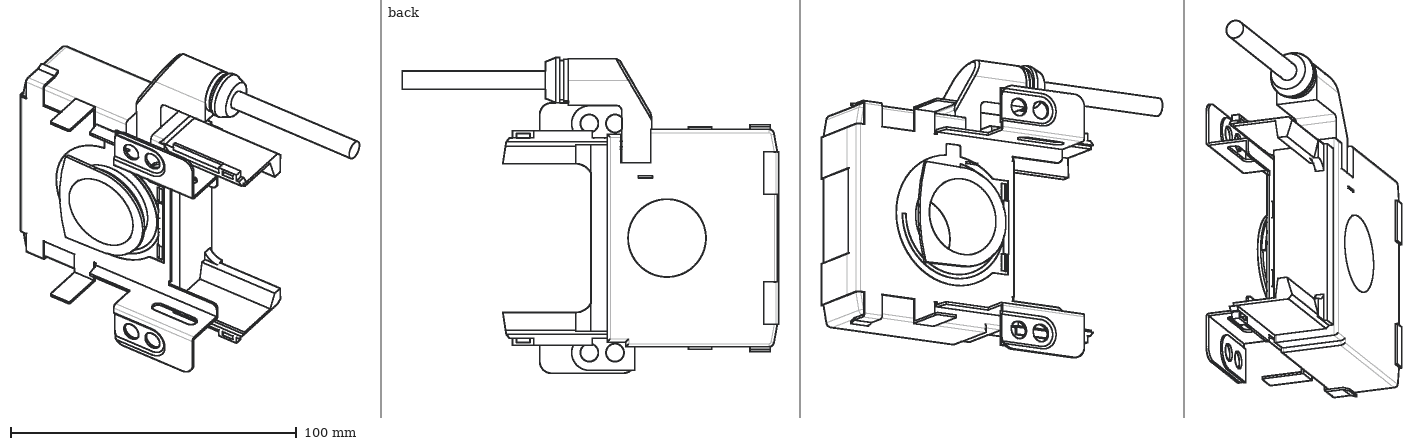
import cadquery as cq
import math


HOUSING_LEFT = -38.7
HOUSING_SHOULDER = 21.0
HOUSING_RIGHT = 26.6
END_WALL_FRONT = 3.3
SHOULDER_STEP_X = 14.5
SHOULDER_DROP = 1.7
CORNER_ROUND = 2.0
HOUSING_TOP = 38.1
HOUSING_BACK = 24.8
HOUSING_STEP = 1.5
END_DRAFT = 1.5
HOUSING_ROUND = 1.2

SHEET = 0.8
FRAME_LEFT = -39.2
FRAME_TOP = 30.2
FRAME_RIGHT = 24.9
RELIEF_X = 24.3
RELIEF_Z = 24.4
ARM_INNER = 26.0
ARM_CORNER = 2.0
FRAME_BEND = 1.2

TOP_CLIP = (-36.1, -29.0)
TOP_CLIP_REACH = 9.5
TOP_CLIP_BEND = 7.1
TOP_CLIP_TIP = 39.7
FORWARD_TAB = (-15.7, -7.5)
TAB_ROUND = 0.7
SIDE_WRAP = 6.1
SIDE_CLIP = (15.3, FRAME_TOP)
SIDE_CLIP_BACK = 25.6
SIDE_CLIP_BEND = 7.1
SIDE_CLIP_TAPER = 0.4
SIDE_CLIP_HOOK = -33.9

BRACKET_LEFT = 11.2
BRACKET_RIGHT = 44.6
BRACKET_TOP = 47.4
BRACKET_BOTTOM = 31.0
BRACKET_FRONT = -15.0
BRACKET_SHEET = 0.9
BRACKET_CORNER = 4.2
BEND_RADIUS = 1.2
LEDGE_START = -6.6
LEDGE_DEPTH = 5.0
SLOT_CENTRE = (31.5, -7.0)
SLOT_LENGTH = 18.2
SLOT_WIDTH = 4.2
HOLE_DIAMETER = 6.2
HOLE_XS = (18.2, 27.2)
HOLE_Z = 40.1
EMBOSS_DEPTH = 0.7
EMBOSS_FLOOR_WIDTH = 9.6
EMBOSS_WIDTH = 11.6
EMBOSS_BACK_WIDTH = 12.4

FORK_START = 16.2
FORK_END = 56.3
FORK_DRAFT = 1.2
STRIP_TOP = 35.1
STRIP_BACK = 1.3
SHELF_TOP = 33.6
SHELF_THICKNESS = 1.0
FORK_FRONT = -1.6
FORK_BACK = 22.2
FORK_RIM_OUTER = 20.6
FORK_RIM_INNER = 17.1
FORK_RIM_ROOT = 15.8
FORK_EDGE = 1.5
FRONT_RAMP = (21.8, 25.6)
LIP_X = (26.1, 46.6)
LIP_FRONT = 0.3
LOOP_X = (46.6, 54.1)
LOOP_BACK = 1.2
LOOP_TOP = 37.6
LOOP_WINDOW_X = (48.0, 52.6)
LOOP_WINDOW_TOP = 36.5
GUSSET_REACH = 5.3
GUSSET_DROP = 3.2
GUSSET_DEPTH = 3.2

BORE_DIAMETER = 27.2
COLLAR_DIAMETER = 31.0
COLLAR_FRONT = -6.5
FLANGE_SHEET = 1.2
STEP_RADIUS = 16.6
STEP_FRONT = -3.8
FLANGE_RADIUS = 17.7
FLANGE_CORNER = (-15.0, 18.1)
FLANGE_LEFT = -17.5
DISC_RADIUS = 23.3
DISC_RISE = 0.2
DISC_RIGHT = 22.3
LATCH_LEFT = 19.7
LATCH_HEIGHT = 33.8
LATCH_POCKET = (9.6, 15.7)
LATCH_POCKET_DEPTH = 1.3
LATCH_BAR_LEFT = 20.3
LATCH_BAR_RISE = 0.7
PIN_DIAMETER = 1.2
KEY_WIDTH = 5.8
KEY_TOP = 27.3
RING_GROOVE_RADII = (19.4, 20.8)
RING_GROOVE_DEPTH = 0.7
RING_GROOVE_GAP = (82.0, 180.0)
SIGHT_SLIT_X = (5.1, 10.0)
SIGHT_SLIT_Z = (21.1, 21.8)

BOOT_Y = 15.0
BOOT_Z = 55.3
BOOT_RADIUS = 7.5
BOOT_LEFT = 5.3
BOOT_STEM_RIGHT = 15.8
BOOT_RIGHT = 34.5
BOOT_SHOULDER_Z = 43.0
BOOT_SLOPE_TOP_X = 16.9
BOOT_UNDERSIDE = 46.5
BOOT_FOOT = 26.4
BOOT_STEM_ROUND = 2.0
BOOT_EDGE = 0.9
NECK_DIAMETER = 14.6
NECK_END = 36.1
GROOVE_DIAMETER = 13.9
GROOVE_END = 37.5
RING_DIAMETER = 16.0
RING_END = 38.9
GLAND_DIAMETER = 12.9
GLAND_END = 42.6
CABLE_DIAMETER = 6.5
CABLE_END = 92.7
BOOT_POCKET = (5.7, FORK_START)


def box(x_range, y_range, z_range):
    """Box from its lowest and highest coordinates."""
    size = [high - low for low, high in (x_range, y_range, z_range)]
    corner = (x_range[0], y_range[0], z_range[0])
    return cq.Workplane("XY").box(*size, centered=False).translate(corner)


def front_prism(sketch, y_front, y_back):
    """Extrude a closed outline drawn in X and Z from y_front back to y_back."""
    return sketch.extrude(y_front - y_back).translate((0, y_front, 0))


def front_outline(points):
    return cq.Workplane("XZ").polyline(points).close()


def front_disc(diameter, y_front, y_back):
    return front_prism(cq.Workplane("XZ").circle(diameter / 2), y_front, y_back)


def both_sides(shape):
    """Add the mirror image of a shape on the other side of the XY plane."""
    return shape.union(shape.mirror("XY"))


def make_housing():
    drafted_left = HOUSING_LEFT + END_DRAFT
    shoulder_top = HOUSING_TOP - SHOULDER_DROP
    outline = [
        (HOUSING_LEFT, -FRAME_TOP),
        (drafted_left, -HOUSING_TOP),
        (SHOULDER_STEP_X, -HOUSING_TOP),
        (SHOULDER_STEP_X, -shoulder_top),
        (HOUSING_SHOULDER, -shoulder_top),
        (HOUSING_SHOULDER, shoulder_top),
        (SHOULDER_STEP_X, shoulder_top),
        (SHOULDER_STEP_X, HOUSING_TOP),
        (drafted_left, HOUSING_TOP),
        (HOUSING_LEFT, FRAME_TOP),
    ]
    block = front_prism(front_outline(outline), SHEET, HOUSING_BACK)
    for corner_z in (-HOUSING_TOP, HOUSING_TOP):
        corner = cq.selectors.NearestToPointSelector((drafted_left, HOUSING_BACK / 2, corner_z))
        block = block.edges(corner).fillet(CORNER_ROUND)
    block = block.faces("<Y or >Y").edges().fillet(HOUSING_ROUND)
    shelf_under = SHELF_TOP - SHELF_THICKNESS
    end_wall = box(
        (HOUSING_SHOULDER - HOUSING_ROUND, HOUSING_RIGHT),
        (END_WALL_FRONT, HOUSING_BACK - HOUSING_STEP),
        (-shelf_under, shelf_under),
    )
    pocket = box(
        BOOT_POCKET,
        (0, HOUSING_BACK),
        (BOOT_FOOT, HOUSING_TOP + 1.3),
    )
    return block.cut(pocket).union(end_wall)


def make_fork_arm():
    """Upper arm: a shelf with a rim at the back and a strip, a lip and a loop at the front."""
    shelf_under = SHELF_TOP - SHELF_THICKNESS
    section = [
        (STRIP_BACK, SHELF_TOP),
        (FORK_BACK - FORK_EDGE, SHELF_TOP),
        (FORK_BACK, SHELF_TOP - FORK_EDGE),
        (FORK_RIM_OUTER, ARM_INNER),
        (FORK_RIM_INNER, ARM_INNER),
        (FORK_RIM_ROOT, shelf_under),
        (0, shelf_under),
        (0, SHELF_TOP),
        (FORK_FRONT, SHELF_TOP),
        (FORK_FRONT, STRIP_TOP),
        (STRIP_BACK, STRIP_TOP),
    ]
    drafted_end = FORK_END + FORK_DRAFT
    arm = cq.Workplane("YZ").polyline(section).close().extrude(drafted_end - FORK_START)
    arm = arm.translate((FORK_START, 0, 0))
    end_cut = [
        (FORK_END - FORK_DRAFT, STRIP_TOP),
        (FORK_END, SHELF_TOP),
        (drafted_end, ARM_INNER),
        (drafted_end, STRIP_TOP),
    ]
    arm = arm.cut(front_prism(front_outline(end_cut), FORK_FRONT, FORK_BACK))

    front_cut = [
        (FORK_START, FORK_FRONT),
        (FRONT_RAMP[1], FORK_FRONT),
        (FRONT_RAMP[0], SHEET),
        (FORK_START, SHEET),
    ]
    arm = arm.cut(cq.Workplane("XY").polyline(front_cut).close().extrude(STRIP_TOP))
    arm = arm.union(box(LIP_X, (LIP_FRONT, STRIP_BACK), (STRIP_TOP, LOOP_TOP)))

    loop = box(LOOP_X, (FORK_FRONT, LOOP_BACK), (STRIP_TOP, LOOP_TOP))
    loop = loop.cut(box(LOOP_WINDOW_X, (FORK_FRONT, LOOP_BACK), (STRIP_TOP, LOOP_WINDOW_TOP)))

    gusset = (
        cq.Workplane("XZ")
        .moveTo(HOUSING_RIGHT, shelf_under)
        .lineTo(HOUSING_RIGHT, ARM_INNER - GUSSET_DROP)
        .threePointArc(
            (HOUSING_RIGHT + 0.4 * GUSSET_REACH, ARM_INNER - 0.3 * GUSSET_DROP),
            (HOUSING_RIGHT + GUSSET_REACH, ARM_INNER),
        )
        .lineTo(HOUSING_RIGHT + GUSSET_REACH, shelf_under)
        .close()
    )
    return arm.union(loop).union(front_prism(gusset, FORK_BACK - GUSSET_DEPTH, FORK_BACK))


def make_frame():
    """Front sheet with its relief notches, arms, side wraps and clips."""
    frame = box((FRAME_LEFT, FRAME_RIGHT), (0, SHEET), (-FRAME_TOP, FRAME_TOP))
    upper = box((LEDGE_START, BRACKET_RIGHT), (0, SHEET), (ARM_INNER, BRACKET_BOTTOM))
    upper = upper.edges("|Y and >X and <Z").fillet(ARM_CORNER)
    relief = box((RELIEF_X, FRAME_RIGHT), (0, SHEET), (RELIEF_Z, ARM_INNER))
    frame = frame.cut(both_sides(relief)).union(both_sides(upper))
    wrap = box(
        (FRAME_LEFT, FRAME_LEFT + SHEET),
        (0, SIDE_WRAP),
        (-SIDE_CLIP[0], SIDE_CLIP[0]),
    )
    frame = frame.union(wrap)

    tapered_left = FRAME_LEFT + SIDE_CLIP_TAPER
    clip_outline = [
        (FRAME_LEFT, 0),
        (FRAME_LEFT, SIDE_CLIP_BEND),
        (tapered_left, SIDE_CLIP_BACK),
        (SIDE_CLIP_HOOK, SIDE_CLIP_BACK),
        (SIDE_CLIP_HOOK, SIDE_CLIP_BACK - SHEET),
        (tapered_left + SHEET, SIDE_CLIP_BACK - SHEET),
        (FRAME_LEFT + SHEET, SIDE_CLIP_BEND),
        (FRAME_LEFT + SHEET, 0),
    ]
    side_clip = cq.Workplane("XY").polyline(clip_outline).close().extrude(SIDE_CLIP[1] - SIDE_CLIP[0])
    back_corner = cq.selectors.NearestToPointSelector((tapered_left, SIDE_CLIP_BACK, SIDE_CLIP[0] / 2))
    side_clip = side_clip.edges(back_corner).fillet(SHEET)
    frame = frame.union(both_sides(side_clip.translate((0, 0, SIDE_CLIP[0]))))
    frame = frame.edges("|Z and <X and <Y").fillet(FRAME_BEND)

    clip_top = HOUSING_TOP + SHEET
    clip_section = [
        (0, FRAME_TOP),
        (0, clip_top),
        (TOP_CLIP_BEND, clip_top),
        (TOP_CLIP_REACH, TOP_CLIP_TIP),
        (TOP_CLIP_REACH, TOP_CLIP_TIP - SHEET),
        (TOP_CLIP_BEND, HOUSING_TOP),
        (SHEET, HOUSING_TOP),
        (SHEET, FRAME_TOP),
    ]
    top_clip = cq.Workplane("YZ").polyline(clip_section).close()
    top_clip = top_clip.extrude(TOP_CLIP[1] - TOP_CLIP[0]).translate((TOP_CLIP[0], 0, 0))
    bend_edge = cq.selectors.NearestToPointSelector((sum(TOP_CLIP) / 2, 0, clip_top))
    top_clip = top_clip.edges(bend_edge).fillet(FRAME_BEND)

    tab = box(FORWARD_TAB, (BRACKET_FRONT, SHEET), (HOUSING_TOP, HOUSING_TOP + SHEET))
    tab = tab.edges("|Z and <Y").fillet(TAB_ROUND)
    tab = tab.union(box(FORWARD_TAB, (0, SHEET), (FRAME_TOP, HOUSING_TOP + SHEET)))
    return frame.union(both_sides(top_clip.union(tab)))


def make_bracket():
    """Upper bracket: a slotted ledge bent up into an embossed mounting plate."""
    ledge_outline = [
        (LEDGE_START, SHEET),
        (LEDGE_START, 0),
        (LEDGE_START + SHEET, -LEDGE_DEPTH),
        (BRACKET_LEFT, -LEDGE_DEPTH),
        (BRACKET_LEFT, BRACKET_FRONT),
        (BRACKET_RIGHT, BRACKET_FRONT),
        (BRACKET_RIGHT, SHEET),
    ]
    ledge = cq.Workplane("XY").polyline(ledge_outline).close().extrude(BRACKET_SHEET)
    ledge = ledge.edges("|X and >Y and >Z").fillet(SHEET).translate((0, 0, BRACKET_BOTTOM))
    plate_x = (BRACKET_LEFT, BRACKET_RIGHT)
    plate_back = BRACKET_FRONT + BRACKET_SHEET
    plate = box(plate_x, (BRACKET_FRONT, plate_back), (BRACKET_BOTTOM, BRACKET_TOP))
    plate = plate.edges("|Y and >Z").fillet(BRACKET_CORNER)
    bracket = ledge.union(plate).edges("|X and <Y and <Z").fillet(BEND_RADIUS)

    def emboss(width, left):
        centre_x = HOLE_XS[1]
        return (
            cq.Workplane("XZ")
            .moveTo(left, HOLE_Z - width / 2)
            .lineTo(centre_x, HOLE_Z - width / 2)
            .threePointArc((centre_x + width / 2, HOLE_Z), (centre_x, HOLE_Z + width / 2))
            .lineTo(left, HOLE_Z + width / 2)
            .close()
        )

    pad = front_prism(emboss(EMBOSS_BACK_WIDTH, BRACKET_LEFT), plate_back, plate_back + EMBOSS_DEPTH)
    wall_run = (EMBOSS_WIDTH - EMBOSS_FLOOR_WIDTH) / 2
    wall_angle = math.degrees(math.atan2(wall_run, EMBOSS_DEPTH))
    recess = emboss(EMBOSS_WIDTH, BRACKET_LEFT - EMBOSS_WIDTH).extrude(-EMBOSS_DEPTH, taper=wall_angle)
    recess = recess.translate((0, BRACKET_FRONT, 0))
    holes = cq.Workplane("XZ").pushPoints([(x, HOLE_Z) for x in HOLE_XS]).circle(HOLE_DIAMETER / 2)
    slot = cq.Workplane("XY").center(*SLOT_CENTRE).slot2D(SLOT_LENGTH, SLOT_WIDTH)
    return (
        bracket.union(pad)
        .cut(recess)
        .cut(front_prism(holes, BRACKET_FRONT, plate_back + EMBOSS_DEPTH))
        .cut(slot.extrude(BRACKET_BOTTOM + BRACKET_SHEET))
    )


def make_disc():
    """Raised disc around the collar with a key, latch pockets and a ring groove."""
    half_latch = LATCH_HEIGHT / 2
    disc = front_disc(2 * DISC_RADIUS, -DISC_RISE, SHEET)
    disc = disc.cut(box((LATCH_LEFT, DISC_RADIUS), (-DISC_RISE, 0), (-DISC_RADIUS, DISC_RADIUS)))
    latch_start = math.sqrt(DISC_RADIUS**2 - half_latch**2)
    disc = disc.union(box((latch_start, DISC_RIGHT), (-DISC_RISE, SHEET), (-half_latch, half_latch)))
    bar_end = LATCH_POCKET[0]
    disc = disc.union(box((LATCH_BAR_LEFT, DISC_RIGHT), (-LATCH_BAR_RISE, SHEET), (-bar_end, bar_end)))
    key = box((-KEY_WIDTH / 2, KEY_WIDTH / 2), (-DISC_RISE, SHEET), (0, KEY_TOP))
    disc = disc.union(key.edges("|Y and >Z").fillet(TAB_ROUND))

    inner, outer = RING_GROOVE_RADII
    ring = cq.Workplane("XZ").circle(outer).circle(inner)
    groove = front_prism(ring, -DISC_RISE, RING_GROOVE_DEPTH - DISC_RISE)
    reach = 2 * DISC_RADIUS
    start, end = (math.radians(angle) for angle in RING_GROOVE_GAP)
    middle = (start + end) / 2
    wedge = [(0, 0)]
    for angle in (start, middle, end):
        wedge.append((reach * math.cos(angle), reach * math.sin(angle)))
    groove = groove.cut(front_prism(front_outline(wedge), -DISC_RISE, SHEET))
    return disc.cut(groove)


def make_latch_pocket():
    pocket = box((LATCH_LEFT, DISC_RIGHT - TAB_ROUND), (-DISC_RISE, LATCH_POCKET_DEPTH), LATCH_POCKET)
    pin = cq.Workplane("XY").circle(PIN_DIAMETER / 2).extrude(LATCH_POCKET[1] - LATCH_POCKET[0])
    pin_x = (LATCH_LEFT + DISC_RIGHT - TAB_ROUND) / 2
    return pocket.cut(pin.translate((pin_x, PIN_DIAMETER / 2 - DISC_RISE, LATCH_POCKET[0])))


def make_collar():
    """Collar with a squared flange at its front and a half step behind the flange."""
    collar = front_disc(COLLAR_DIAMETER, COLLAR_FRONT, SHEET)
    step = front_disc(2 * STEP_RADIUS, COLLAR_FRONT, STEP_FRONT)
    upper_half = box((-STEP_RADIUS, STEP_RADIUS), (COLLAR_FRONT, STEP_FRONT), (0, STEP_RADIUS))
    collar = collar.union(step.intersect(upper_half))
    corner_x, corner_z = FLANGE_CORNER
    flange = (
        cq.Workplane("XZ")
        .moveTo(0, FLANGE_RADIUS)
        .threePointArc((FLANGE_RADIUS, 0), (0, -FLANGE_RADIUS))
        .lineTo(corner_x, -corner_z)
        .threePointArc((FLANGE_LEFT, 0), (corner_x, corner_z))
        .close()
    )
    flange = front_prism(flange, COLLAR_FRONT, COLLAR_FRONT + FLANGE_SHEET)
    return collar.union(flange.edges("|Y").edges("<X").fillet(TAB_ROUND))


def make_boot():
    """Angled cable boot, its stepped gland and the cable."""
    boot_top = BOOT_Z + BOOT_RADIUS
    side = [
        (BOOT_LEFT, BOOT_FOOT),
        (BOOT_LEFT, BOOT_SHOULDER_Z),
        (BOOT_SLOPE_TOP_X, boot_top),
        (BOOT_RIGHT, boot_top),
        (BOOT_RIGHT, BOOT_UNDERSIDE),
        (BOOT_STEM_RIGHT, BOOT_UNDERSIDE),
        (BOOT_STEM_RIGHT, BOOT_FOOT),
    ]
    body = front_prism(front_outline(side), BOOT_Y - BOOT_RADIUS, BOOT_Y + BOOT_RADIUS)
    inner_corner = cq.selectors.NearestToPointSelector((BOOT_STEM_RIGHT, BOOT_Y, BOOT_UNDERSIDE))
    body = body.edges(inner_corner).fillet(BOOT_STEM_ROUND)
    arch = (
        cq.Workplane("YZ")
        .moveTo(BOOT_Y - BOOT_RADIUS, BOOT_FOOT)
        .lineTo(BOOT_Y - BOOT_RADIUS, BOOT_Z)
        .threePointArc((BOOT_Y, boot_top), (BOOT_Y + BOOT_RADIUS, BOOT_Z))
        .lineTo(BOOT_Y + BOOT_RADIUS, BOOT_FOOT)
        .close()
        .extrude(BOOT_RIGHT)
    )
    body = body.intersect(arch)
    slope = cq.selectors.NearestToPointSelector(
        ((BOOT_LEFT + BOOT_SLOPE_TOP_X) / 2, BOOT_Y, (BOOT_SHOULDER_Z + boot_top) / 2)
    )
    body = body.faces(slope).edges().chamfer(BOOT_EDGE)

    profile = [
        (BOOT_RIGHT, 0),
        (BOOT_RIGHT, NECK_DIAMETER / 2),
        (NECK_END, NECK_DIAMETER / 2),
        (NECK_END, GROOVE_DIAMETER / 2),
        (GROOVE_END, GROOVE_DIAMETER / 2),
        (GROOVE_END, RING_DIAMETER / 2),
        (RING_END, RING_DIAMETER / 2),
        (GLAND_END, GLAND_DIAMETER / 2),
        (GLAND_END, CABLE_DIAMETER / 2),
        (CABLE_END, CABLE_DIAMETER / 2),
        (CABLE_END, 0),
    ]
    gland = cq.Workplane("XY").polyline(profile).close().revolve(360, (0, 0, 0), (1, 0, 0))
    return body.union(gland.translate((0, BOOT_Y, BOOT_Z)))


body = make_housing().union(both_sides(make_fork_arm()))
body = body.union(make_frame()).union(both_sides(make_bracket()))
body = body.union(make_disc()).union(make_collar()).union(make_boot())
body = body.cut(both_sides(make_latch_pocket()))
body = body.cut(box(SIGHT_SLIT_X, (-DISC_RISE, HOUSING_BACK), SIGHT_SLIT_Z))
result = body.cut(front_disc(BORE_DIAMETER, COLLAR_FRONT, HOUSING_BACK))